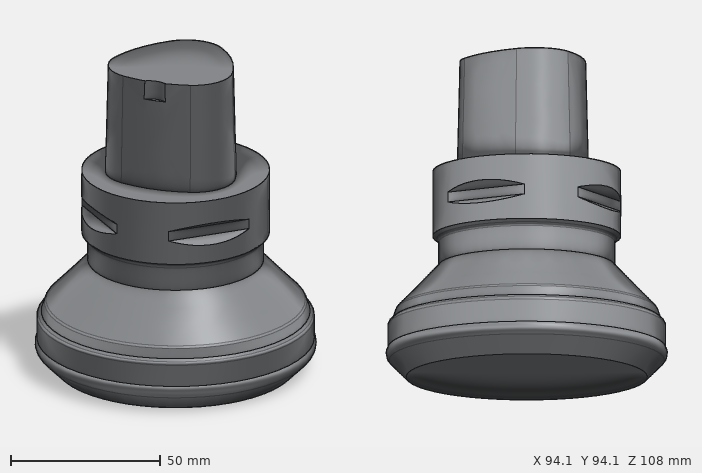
import cadquery as cq
import math

total_height = 108.0

ring_height = 9.9
ring_bottom_radius = 40.4
ring_chamfer = 5.7

drum_radius = 93.0 / 2
drum_top_z = 17.5
shoulder_bottom_radius = 45.1
shoulder_bottom_z = 19.3
drum_fillet_end_z = 18.6
drum_fillet_end_radius = 46.0
shoulder_top_radius = 44.0
shoulder_top_z = 22.6
cone_bottom_radius = 43.4
cone_bottom_z = 23.3
neck_radius = 59.0 / 2
neck_bottom_z = 37.9
neck_top_z = 45.9
neck_fillet_end_radius = 30.1
neck_fillet_end_z = 47.1
collar_radius = 63.0 / 2
collar_bottom_z = 48.0
collar_top_z = 70.0

slot_count = 4
slot_first_angle = 45.0
slot_floor_distance = 27.9
slot_z = 58.0
slot_floor_height = 3.3
slot_wall_angle = 31.0
slot_cut_margin = 2.2

lobe_count = 3
lobe_reach = 23.7
lobe_radius = 14.0
flank_reach = 20.1
shank_taper = math.degrees(math.atan(1 / 40))

keyway_radius = 6.7
keyway_wall_y = -17.9
keyway_depth = 6.5


def polar(radius, angle):
    """Point at a distance and an angle in degrees from the axis."""
    return (radius * math.cos(math.radians(angle)), radius * math.sin(math.radians(angle)))


def make_cutting_ring():
    return (
        cq.Workplane("XZ")
        .moveTo(0, 0)
        .lineTo(ring_bottom_radius, 0)
        .line(ring_chamfer, ring_chamfer)
        .tangentArcPoint((drum_radius, ring_height), relative=False)
        .lineTo(0, ring_height)
        .close()
        .revolve(360, (0, 0), (0, 1))
    )


def make_holder_base():
    return (
        cq.Workplane("XZ")
        .moveTo(0, ring_height)
        .lineTo(drum_radius, ring_height)
        .lineTo(drum_radius, drum_top_z)
        .tangentArcPoint((drum_fillet_end_radius, drum_fillet_end_z), relative=False)
        .lineTo(shoulder_bottom_radius, shoulder_bottom_z)
        .lineTo(shoulder_top_radius, shoulder_top_z)
        .lineTo(cone_bottom_radius, cone_bottom_z)
        .lineTo(neck_radius, neck_bottom_z)
        .lineTo(neck_radius, neck_top_z)
        .tangentArcPoint((neck_fillet_end_radius, neck_fillet_end_z), relative=False)
        .lineTo(collar_radius, collar_bottom_z)
        .lineTo(collar_radius, collar_top_z)
        .lineTo(0, collar_top_z)
        .close()
        .revolve(360, (0, 0), (0, 1))
    )


def make_gripper_slot(angle):
    """Straight slot with sloping walls, cut into the collar at the given angle."""
    run = collar_radius + slot_cut_margin - slot_floor_distance
    inner_half = slot_floor_height / 2
    outer_half = inner_half + run * math.tan(math.radians(slot_wall_angle))
    outer_distance = slot_floor_distance + run
    section = [
        (slot_floor_distance, slot_z - inner_half),
        (outer_distance, slot_z - outer_half),
        (outer_distance, slot_z + outer_half),
        (slot_floor_distance, slot_z + inner_half),
    ]
    slot = cq.Workplane("XZ").polyline(section).close().extrude(collar_radius, both=True)
    return slot.rotate((0, 0, 0), (0, 0, 1), angle)


def make_shank():
    """Six tangent arcs, lobes alternating with flatter flanks, narrowing upward."""
    lobe_distance = lobe_reach - lobe_radius
    reach_gap = flank_reach - lobe_radius
    pitch = 360 / lobe_count
    half_pitch = math.radians(pitch / 2)
    lobe_along = lobe_distance * math.cos(half_pitch)
    lobe_across = lobe_distance * math.sin(half_pitch)
    flank_offset = (lobe_distance**2 - reach_gap**2) / (2 * (reach_gap - lobe_along))
    flank_radius = flank_offset + flank_reach
    swing = math.atan2(lobe_across, flank_offset + lobe_along)
    joint_along = flank_radius * math.cos(swing) - flank_offset
    joint_across = flank_radius * math.sin(swing)
    joint_distance = math.hypot(joint_along, joint_across)
    joint_angle = math.degrees(math.atan2(joint_across, joint_along))

    first_flank_angle = -90.0
    outline = cq.Workplane("XY", origin=(0, 0, collar_top_z)).moveTo(
        *polar(joint_distance, first_flank_angle - joint_angle)
    )
    for index in range(lobe_count):
        flank_angle = first_flank_angle + index * pitch
        outline = outline.threePointArc(
            polar(flank_reach, flank_angle),
            polar(joint_distance, flank_angle + joint_angle),
        ).threePointArc(
            polar(lobe_reach, flank_angle + pitch / 2),
            polar(joint_distance, flank_angle + pitch - joint_angle),
        )
    return outline.close().extrude(total_height - collar_top_z, taper=shank_taper)


def make_keyway():
    return (
        cq.Workplane("XY", origin=(0, keyway_wall_y - keyway_radius, total_height - keyway_depth))
        .circle(keyway_radius)
        .extrude(keyway_depth)
    )


def make_holder():
    holder = make_holder_base()
    for index in range(slot_count):
        holder = holder.cut(make_gripper_slot(slot_first_angle + index * 360 / slot_count))
    return holder.union(make_shank().cut(make_keyway()))


cutting_ring = make_cutting_ring()
holder = make_holder().solids()

result = cq.Compound.makeCompound([holder.val(), cutting_ring.val()])